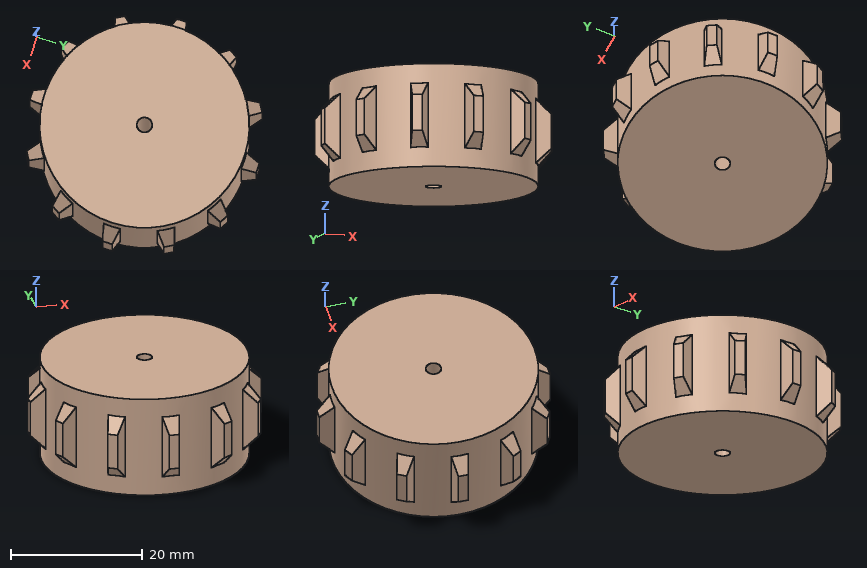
import cadquery as cq

drum_diameter = 32.0
drum_height = 16.0
bore_diameter = 2.33

tooth_count = 12
tip_diameter = 36.4
root_depth = 0.09
root_width = 2.7
root_length = 10.1
tip_width = 1.55
tip_length = 5.6

root_radius = drum_diameter / 2 - root_depth
tooth_height = tip_diameter / 2 - root_radius


def make_drum():
    """Plain cylinder centred on the origin, with its axis along Z."""
    return cq.Workplane("XY").cylinder(drum_height, drum_diameter / 2)


def make_tooth(angle):
    """Block pointing outward from the drum axis, tapering on all four sides."""
    root_plane = cq.Plane(origin=(root_radius, 0, 0), xDir=(0, 1, 0), normal=(1, 0, 0))
    tooth = (
        cq.Workplane(root_plane)
        .rect(root_width, root_length)
        .workplane(offset=tooth_height)
        .rect(tip_width, tip_length)
        .loft(ruled=True)
    )
    return tooth.rotate((0, 0, 0), (0, 0, 1), angle)


result = make_drum()
for index in range(tooth_count):
    result = result.union(make_tooth(index * 360 / tooth_count))

result = result.faces(">Z").workplane(origin=(0, 0, 0)).hole(bore_diameter)